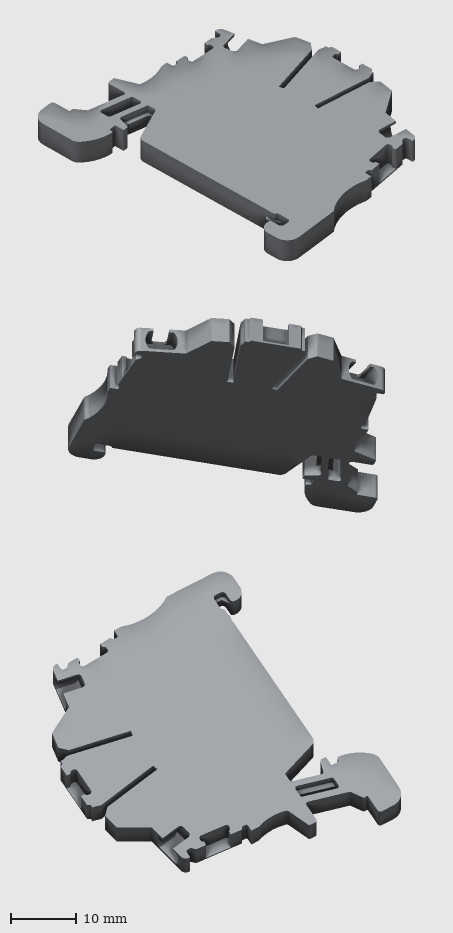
import cadquery as cq
import math

THICKNESS = 4.2
LENGTH = 49.8
HEIGHT = 43.0

CENTER_X = 28.0

SHOULDER_Y = 23.55
WAIST_TOP_Y = 22.25
WAIST_Y = 19.05
LEDGE_Y = 13.95
BASE_Y = 7.0
SHOULDER_HALF = 20.75
WAIST_HALF = 20.15

BAND_BOTTOM = 1.8
BAND_HEIGHT = 1.0

SHOULDER_INNER = (12.5, 36.45)
SHOULDER_OUTER = (20.05, 35.1)
SIDE_TOP = (19.3, 32.55)
SIDE_BOTTOM = (19.85, 24.75)

TOP_EDGE = [
    (4.0, HEIGHT),
    (4.3, 42.5),
    (4.85, 42.5),
    (4.85, 42.15),
    (5.15, 41.15),
    (3.1, 30.65, 0.15),
    (4.0, 30.45),
    (5.9, 40.45),
    (7.05, 41.6),
    (9.8, 41.1),
    SHOULDER_INNER,
    (*SHOULDER_OUTER, 0.95),
    (SHOULDER_OUTER[0], 34.05),
    (18.68, 34.05, 0.4),
    (18.68, 33.15, 0.2),
    SIDE_TOP,
    SIDE_BOTTOM,
    (19.4, 24.4, 0.2),
    (19.4, SHOULDER_Y, 0.3),
    (SHOULDER_HALF, SHOULDER_Y),
]

NECK_LEAN = 0.27
NECK_LEFT = 7.35
NECK_RIGHT = 11.7
NECK_BOTTOM_Y = 6.95
STEP_TOP_Y = 8.8
SLOT_LEFT = 8.5
SLOT_RIGHT = 10.65
SLOT_BOTTOM_Y = 7.9
SLOT_RADIUS = 0.4
SLOT_WEB_LEFT = 9.8
OUTER_WEB_RIGHT = 12.4
NOTCH_X = 13.35

FOOT_RADIUS = 2.45
HOOK_BOTTOM_Y = 2.95
HOOK_RADIUS = 2.45
FOOT_TOP_Y = 5.05
LEDGE_X = 3.5
HOOK_TIP_X = 43.8
HOOK_TIP_Y = 5.45
GROOVE_X = 46.2
GROOVE_TOP_Y = 7.45

POCKET_FLOOR = 0.3
POCKET_DEPTH = 1.85
POCKET_MOUTH = 4.25
POCKET_GROOVE = 5.05
POCKET_GROOVE_WIDTH = 1.15
POCKET_GROOVE_RADIUS = 0.45
SIDE_POCKET_MOUTH = (19.55, 28.75)

ENTRY_MOUTH = (16.2, 35.7)
ENTRY_DEPTH = 3.65
ENTRY_RADIUS = 2.5
ENTRY_SKIN = 0.5
ENTRY_SLOT_WIDTH = 2.45
ENTRY_SLOT_RADIUS = 0.6
ENTRY_RAMP_LENGTH = 0.65
ENTRY_RAMP_HEIGHT = 0.3

OVERSHOOT = 1.5


def neck_x(x_at_ledge, y):
    """X at height y of a neck edge that crosses LEDGE_Y at x_at_ledge."""
    return x_at_ledge + NECK_LEAN * (y - LEDGE_Y)


def rounded_corner(before, corner, after, radius):
    """Start, middle and end of the arc that rounds a corner between two straight edges."""
    apex = cq.Vector(*corner)
    back = (cq.Vector(*before) - apex).normalized()
    ahead = (cq.Vector(*after) - apex).normalized()
    half_angle = back.getAngle(ahead) / 2
    setback = radius / math.tan(half_angle)
    bisector = (back + ahead).normalized()
    middle = apex + bisector * (radius / math.sin(half_angle) - radius)
    return apex + back * setback, middle, apex + ahead * setback


def trace(corners):
    """Closed XY outline through (x, y), (x, y, corner radius) or (middle x, middle y, x, y).

    The four-value form is an arc that runs through its middle point to (x, y).
    """
    first = corners[0]
    path = cq.Workplane("XY").moveTo(*first)
    for index, corner in enumerate(corners[1:], start=1):
        if len(corner) == 4:
            path = path.threePointArc(corner[:2], corner[2:])
        elif len(corner) == 3:
            before = corners[index - 1]
            after = corners[(index + 1) % len(corners)]
            start, middle, end = rounded_corner(before[:2], corner[:2], after[:2], corner[2])
            path = path.lineTo(start.x, start.y).threePointArc((middle.x, middle.y), (end.x, end.y))
        else:
            path = path.lineTo(*corner)
    return path.close()


def right_side():
    """Corners from the right shoulder down to the rail hook and along the base."""
    return [
        (CENTER_X + SHOULDER_HALF, WAIST_TOP_Y),
        (CENTER_X + WAIST_HALF, WAIST_Y, 49.3, 14.25),
        (LENGTH, 13.55),
        (LENGTH, HOOK_BOTTOM_Y, HOOK_RADIUS),
        (HOOK_TIP_X, HOOK_BOTTOM_Y, 1.7),
        (HOOK_TIP_X, HOOK_TIP_Y, 0.5),
        (GROOVE_X, HOOK_TIP_Y, 0.65),
        (GROOVE_X, GROOVE_TOP_Y, 0.55),
        (43.65, GROOVE_TOP_Y),
        (43.35, BASE_Y),
        (15.95, BASE_Y, 1.1),
        (NOTCH_X, LEDGE_Y, 0.25),
    ]


def foot_side():
    """Corners around the neck and the foot, then up to the left waist."""
    return [
        (NECK_RIGHT, LEDGE_Y, 0.2),
        (neck_x(NECK_RIGHT, STEP_TOP_Y), STEP_TOP_Y, 0.4),
        (12.75, 8.0, 0.2),
        (12.75, BASE_Y),
        (11.0, BASE_Y),
        (11.0, 5.75),
        (11.8, 5.6, 0.2),
        (11.75, 5.0),
        (11.1, 2.8, 9.75, 0.8),
        (9.15, 0.25, 8.25, 0.0),
        (0.0, 0.0, FOOT_RADIUS),
        (0.0, FOOT_TOP_Y, 0.5),
        (LEDGE_X, FOOT_TOP_Y),
        (LEDGE_X, 5.75),
        (neck_x(NECK_LEFT, NECK_BOTTOM_Y), NECK_BOTTOM_Y, 0.3),
        (NECK_LEFT, LEDGE_Y, 0.4),
        (LEDGE_X, LEDGE_Y, 0.4),
        (LEDGE_X, 15.45, 0.25),
        (7.45, 16.95, 0.4),
        (7.6, 17.4),
        (CENTER_X - WAIST_HALF, WAIST_Y, CENTER_X - SHOULDER_HALF, WAIST_TOP_Y),
    ]


def body():
    """Plate with the whole outline, before the slot and pockets are cut."""
    right_top = [(CENTER_X + d, y, *radius) for d, y, *radius in TOP_EDGE]
    left_top = [(CENTER_X - d, y, *radius) for d, y, *radius in reversed(TOP_EDGE)]
    return trace(right_top + right_side() + foot_side() + left_top).extrude(THICKNESS)


def neck_slot():
    """Slanted window through the neck of the foot."""
    return trace([
        ((SLOT_LEFT + SLOT_RIGHT) / 2, LEDGE_Y),
        (SLOT_RIGHT, LEDGE_Y, SLOT_RADIUS),
        (neck_x(SLOT_RIGHT, SLOT_BOTTOM_Y), SLOT_BOTTOM_Y, SLOT_RADIUS),
        (neck_x(SLOT_LEFT, SLOT_BOTTOM_Y), SLOT_BOTTOM_Y, SLOT_RADIUS),
        (SLOT_LEFT, LEDGE_Y, SLOT_RADIUS / 2),
    ]).extrude(THICKNESS)


def band(corners):
    """Thin web or lip filling the central band of the thickness."""
    return trace(corners).extrude(BAND_HEIGHT).translate((0, 0, BAND_BOTTOM))


def neck_web():
    """Web along the neck, from inside the slot to past the neck's right edge."""
    return band([
        (SLOT_WEB_LEFT, LEDGE_Y),
        (NOTCH_X, LEDGE_Y),
        (neck_x(OUTER_WEB_RIGHT, 13.2), 13.2, 0.75),
        (neck_x(OUTER_WEB_RIGHT, 8.45), 8.45, 0.4),
        (11.55, 8.35),
        (neck_x(SLOT_WEB_LEFT, SLOT_BOTTOM_Y), SLOT_BOTTOM_Y),
    ])


def hook_lips():
    """Lip under the base and lining of the hook, which narrow the rail groove."""
    base_lip = band([
        (41.6, BASE_Y),
        (42.15, 6.5, 0.2),
        (42.75, 6.5, 0.4),
        (44.6, GROOVE_TOP_Y),
        (42.85, 7.95),
    ])
    lining = band([
        (45.4, 7.55),
        (45.7, 7.25),
        (45.7, 6.15, 0.4),
        (44.05, 5.15),
        (45.3, 4.5),
        (46.8, 6.0),
        (46.8, 7.95),
    ])
    return base_lip.union(lining)


def label_pocket():
    """Undercut pocket entering along -Y from an edge on the X axis."""
    height = THICKNESS - POCKET_FLOOR
    groove_y = POCKET_GROOVE_WIDTH / 2 - POCKET_DEPTH
    mouth = (
        cq.Workplane("XY")
        .center(0, (OVERSHOOT + groove_y) / 2)
        .rect(POCKET_MOUTH, OVERSHOOT - groove_y)
        .extrude(height)
    )
    groove = (
        cq.Workplane("XY")
        .center(0, groove_y)
        .rect(POCKET_GROOVE, POCKET_GROOVE_WIDTH)
        .extrude(height)
        .edges("|Z")
        .fillet(POCKET_GROOVE_RADIUS)
    )
    return mouth.union(groove).translate((0, 0, POCKET_FLOOR))


def wire_entry():
    """Bore with flat top and bottom, entering along -Y from an edge on the X axis.

    A narrower slot with a rounded end opens the bore to the top face, and a ramp
    lifts the floor at the closed end.
    """
    length = ENTRY_DEPTH + OVERSHOOT
    middle_y = (OVERSHOOT - ENTRY_DEPTH) / 2
    bore = (
        cq.Workplane("XZ", origin=(0, OVERSHOOT, THICKNESS / 2))
        .circle(ENTRY_RADIUS)
        .extrude(length)
    )
    space_between_skins = cq.Workplane("XY").box(
        2 * ENTRY_RADIUS, length, THICKNESS - 2 * ENTRY_SKIN
    ).translate((0, middle_y, THICKNESS / 2))
    slot = (
        cq.Workplane("XY", origin=(0, middle_y, THICKNESS / 2))
        .rect(ENTRY_SLOT_WIDTH, length)
        .extrude(THICKNESS / 2)
        .edges("|Z and <Y")
        .fillet(ENTRY_SLOT_RADIUS)
    )
    ramp = (
        cq.Workplane("YZ", origin=(-ENTRY_RADIUS, -ENTRY_DEPTH, ENTRY_SKIN))
        .polyline([(0, 0), (ENTRY_RAMP_LENGTH, 0), (0, ENTRY_RAMP_HEIGHT)])
        .close()
        .extrude(2 * ENTRY_RADIUS)
    )
    return bore.intersect(space_between_skins).union(slot).cut(ramp)


def on_right_edge(cutter, place, angle):
    """Turn a cutter about Z and move it to (distance from CENTER_X, Y) on the right half."""
    distance, y = place
    return cutter.rotate((0, 0, 0), (0, 0, 1), angle).translate((CENTER_X + distance, y, 0))


def mirrored(cutter):
    """The same cutter on the other side of CENTER_X."""
    return cutter.mirror("YZ", (CENTER_X, 0, 0))


def edge_angle(start, end):
    """Direction in degrees of the edge from start to end."""
    return math.degrees(math.atan2(end[1] - start[1], end[0] - start[0]))


shoulder_angle = edge_angle(SHOULDER_INNER, SHOULDER_OUTER)
side_angle = edge_angle(SIDE_TOP, SIDE_BOTTOM)

result = body().cut(neck_slot()).union(neck_web()).union(hook_lips())
result = result.cut(label_pocket().translate((CENTER_X, HEIGHT, 0)))

for cutter in (
    on_right_edge(label_pocket(), SIDE_POCKET_MOUTH, side_angle),
    on_right_edge(wire_entry(), ENTRY_MOUTH, shoulder_angle),
):
    result = result.cut(cutter).cut(mirrored(cutter))